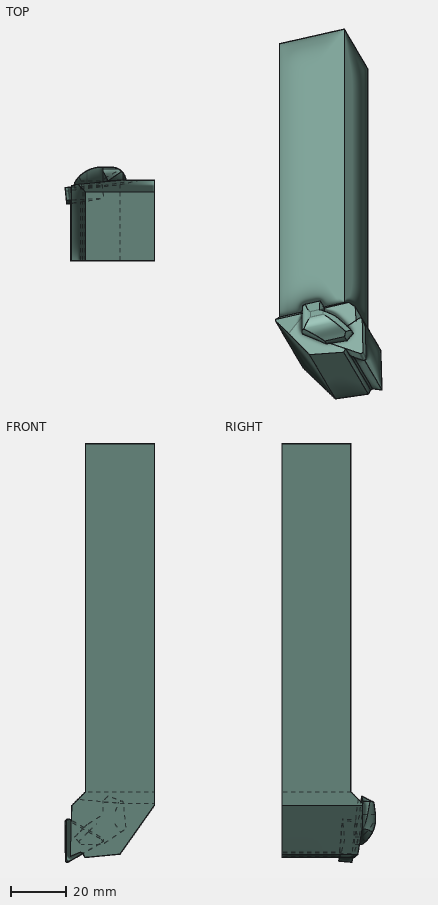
import cadquery as cq
import math

SHANK = 25.0
LENGTH = 151.4

FLARE_TOP = 25.5
SIDE_FLARE = 5.0
BACK_FLARE = 4.2
SIDE_LEAN = 0.5
RELIEF_START = 20.6
SIDE_END_Z = 2.1
NOTCH_ROOF = [(-1.8, 3.6), (-1.0, 3.3)]
TOE_X = -0.2
TOE_Z = 1.7
HEEL_X = SHANK / 2
HEEL_Z = 2.9

INSERT_EDGE = 16.5
INSERT_THICK = 4.7
CORNER_RADIUS = 0.8
PITCH = 5.0
YAW = 6.0
TIP = (-7.3, 25.1, -0.6)

CLAMP_LEFT = -4.0
CLAMP_RIGHT = 14.7
CLAMP_LOW = 6.4
CLAMP_HIGH = 23.9
CLAMP_BASE_Y = 25.0
CLAMP_TOP_Y = 33.9
CLAMP_RIM_Y = 28.9
CLAMP_TIP_RIM_Y = 28.3
CLAMP_CROWN = (7.0, 9.7)
CLAMP_CROWN_Z = 17.3
CLAMP_BEVEL = (33.3, 21.6)
CLAMP_STEP_X = 6.4

BIG = 90.8


def prism_y(points, y_start, y_end):
    """Extrude an (X, Z) outline from y_start to y_end."""
    plane = cq.Workplane("XZ", origin=(0, y_start, 0))
    return plane.polyline(points).close().extrude(y_start - y_end)


def tip_over(body):
    """Lean a body built square to the axes into the insert's attitude."""
    return body.rotate((0, 0, 0), (1, 0, 0), -PITCH).rotate((0, 0, 0), (0, 0, 1), YAW).translate(TIP)


def make_insert():
    height = INSERT_EDGE * math.sqrt(3) / 2
    corners = [(0, 0), (height, INSERT_EDGE / 2), (0, INSERT_EDGE)]
    plate = prism_y(corners, -INSERT_THICK, 0)
    return tip_over(plate.edges("|Y").fillet(CORNER_RADIUS))


def behind_insert():
    """Space on the +Y side of the plane that carries the insert's back face."""
    return tip_over(cq.Workplane("XY").box(BIG, BIG, BIG, centered=(True, False, True)))


def make_bar():
    """Shank and head outline, cut back to the shank depth above the back flare."""
    outline = [
        (0, LENGTH),
        (0, FLARE_TOP),
        (-SIDE_FLARE, FLARE_TOP - SIDE_FLARE),
        (-SIDE_FLARE - SIDE_LEAN, SIDE_END_Z),
        *NOTCH_ROOF,
        (TOE_X, TOE_Z),
        (HEEL_X, HEEL_Z),
        (SHANK, RELIEF_START),
        (SHANK, LENGTH),
    ]
    head_y = SHANK + BACK_FLARE
    side_profile = [
        (0, 0),
        (head_y, 0),
        (head_y, FLARE_TOP - BACK_FLARE),
        (SHANK, FLARE_TOP),
        (SHANK, LENGTH),
        (0, LENGTH),
    ]
    depth = cq.Workplane("YZ").polyline(side_profile).close().extrude(BIG, both=True)
    lower_zone = cq.Workplane("XY").box(BIG, BIG, FLARE_TOP, centered=(True, True, False))
    bar = prism_y(outline, 0, head_y).intersect(depth)
    return bar.cut(behind_insert().intersect(lower_zone))


def make_clamp():
    """Lug whose plan outline is rounded over along X and along Z."""
    plan = [
        (8.2, CLAMP_HIGH),
        (13.6, 22.0),
        (CLAMP_RIGHT, 12.1),
        (6.0, CLAMP_LOW),
        (-1.5, CLAMP_LOW),
        (CLAMP_LEFT, 9.1),
        (0.6, 13.6),
        (CLAMP_STEP_X, CLAMP_CROWN_Z),
        (CLAMP_STEP_X, 22.1),
    ]
    lug = prism_y(plan, CLAMP_BASE_Y, CLAMP_TOP_Y)
    dome_x = (
        cq.Workplane("XY")
        .moveTo(CLAMP_LEFT, CLAMP_BASE_Y)
        .lineTo(CLAMP_LEFT, CLAMP_TIP_RIM_Y)
        .threePointArc((0.2, 32.4), (CLAMP_CROWN[0], CLAMP_TOP_Y))
        .lineTo(CLAMP_CROWN[1], CLAMP_TOP_Y)
        .threePointArc((12.4, 33.0), (CLAMP_RIGHT, CLAMP_RIM_Y))
        .lineTo(CLAMP_RIGHT, CLAMP_BASE_Y)
        .close()
        .extrude(BIG)
    )
    dome_z = (
        cq.Workplane("YZ")
        .moveTo(CLAMP_BASE_Y, CLAMP_LOW)
        .lineTo(CLAMP_RIM_Y, CLAMP_LOW)
        .threePointArc((33.1, 11.7), (CLAMP_TOP_Y, CLAMP_CROWN_Z))
        .lineTo(*CLAMP_BEVEL)
        .lineTo(CLAMP_RIM_Y, CLAMP_HIGH)
        .lineTo(CLAMP_BASE_Y, CLAMP_HIGH)
        .close()
        .extrude(BIG, both=True)
    )
    return lug.intersect(dome_x).intersect(dome_z)


insert = make_insert()
clamp = make_clamp().intersect(behind_insert())
holder = make_bar().union(clamp).cut(insert)

result = cq.Compound.makeCompound([*holder.solids().vals(), *insert.solids().vals()])